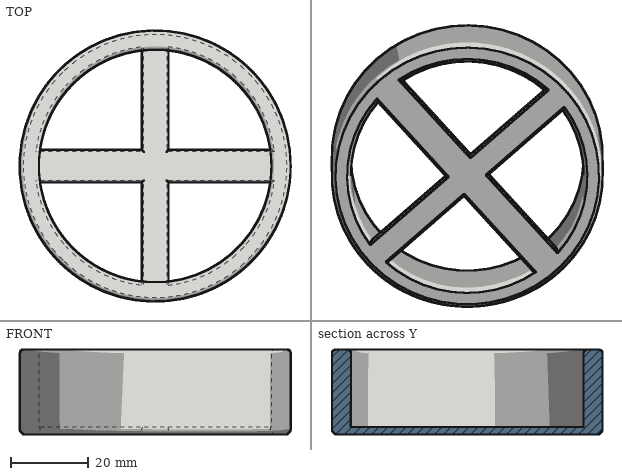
import cadquery as cq

outer_diameter = 70.0
inner_diameter = 60.0
height = 22.0
rim_fillet = 1.0
ring_base_chamfer = 1.0

x_spoke_width = 8.5
y_spoke_width = 7.0
spoke_height = 2.0
spoke_fillet = 0.7
spoke_base_chamfer = 0.5

spoke_length = (outer_diameter + inner_diameter) / 2

level_tolerance = 0.01


def edges_at_level(body, level):
    """Return the edges of the body that lie in the horizontal plane at the given height."""
    reach = outer_diameter
    slab = cq.selectors.BoxSelector(
        (-reach, -reach, level - level_tolerance),
        (reach, reach, level + level_tolerance),
        boundingbox=True,
    )
    return body.edges(slab)


def make_ring():
    """Tube with rounded top edges and bottom chamfers whose upper corners are rounded alike."""
    ring = (
        cq.Workplane("XY")
        .circle(outer_diameter / 2)
        .circle(inner_diameter / 2)
        .extrude(height)
    )
    ring = ring.faces("<Z").edges().chamfer(ring_base_chamfer)
    ring = edges_at_level(ring, ring_base_chamfer).fillet(rim_fillet)
    return ring.faces(">Z").edges().fillet(rim_fillet)


def make_spoke(width):
    """Bar along X, its long edges finished like the ring: rounded on top, chamfered below."""
    spoke = cq.Workplane("XY").rect(spoke_length, width).extrude(spoke_height)
    spoke = spoke.faces("<Z").edges("|X").chamfer(spoke_base_chamfer)
    spoke = edges_at_level(spoke, spoke_base_chamfer).edges("|X").fillet(spoke_fillet)
    return spoke.faces(">Z").edges("|X").fillet(spoke_fillet)


x_spoke = make_spoke(x_spoke_width)
y_spoke = make_spoke(y_spoke_width).rotate((0, 0, 0), (0, 0, 1), 90)

result = make_ring().union(x_spoke).union(y_spoke)